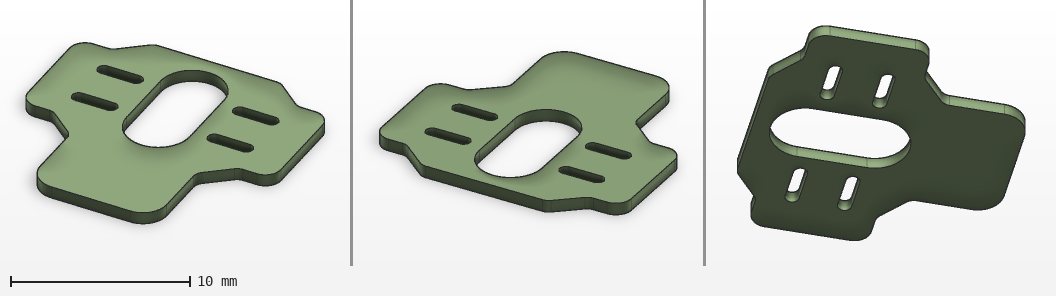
import cadquery as cq

thickness = 0.75
half_width = 8.0
overall_length = 14.98
top_y = 5.0
bottom_y = top_y - overall_length

body_half_width = 4.0
wing_half_height = 3.44
taper_outer_x = 5.87
taper_end_y = top_y

wing_radius = 1.0
stem_radius = 1.5
taper_radius = 0.7

opening_width = 4.0
opening_length = 8.0
slot_length = 2.82
slot_width = 0.8
slot_spacing_x = 8.58
slot_spacing_y = 3.0


def round_corners(plate, x, y, radius):
    """Round the vertical edges at (x, y) and at its mirror (-x, y)."""
    reach = 0.02
    for side in (-1, 1):
        corner = cq.selectors.BoxSelector(
            (side * x - reach, y - reach, -thickness),
            (side * x + reach, y + reach, thickness),
        )
        plate = plate.edges("|Z").edges(corner).fillet(radius)
    return plate


def make_plate():
    right_side = [
        (body_half_width, bottom_y),
        (body_half_width, -taper_end_y),
        (taper_outer_x, -wing_half_height),
        (half_width, -wing_half_height),
        (half_width, wing_half_height),
        (taper_outer_x, wing_half_height),
        (body_half_width, taper_end_y),
    ]
    left_side = [(-x, y) for x, y in reversed(right_side)]
    plate = cq.Workplane("XY").polyline(right_side + left_side).close().extrude(thickness / 2, both=True)

    plate = round_corners(plate, body_half_width, bottom_y, stem_radius)
    for end in (-1, 1):
        plate = round_corners(plate, half_width, end * wing_half_height, wing_radius)
        plate = round_corners(plate, taper_outer_x, end * wing_half_height, taper_radius)
        plate = round_corners(plate, body_half_width, end * taper_end_y, taper_radius)
    return plate


def cut_openings(plate):
    plate = plate.copyWorkplane(cq.Workplane("XY")).slot2D(opening_length, opening_width, 90).cutThruAll()
    return (
        plate.copyWorkplane(cq.Workplane("XY"))
        .rarray(slot_spacing_x, slot_spacing_y, 2, 2)
        .slot2D(slot_length, slot_width)
        .cutThruAll()
    )


result = cut_openings(make_plate())